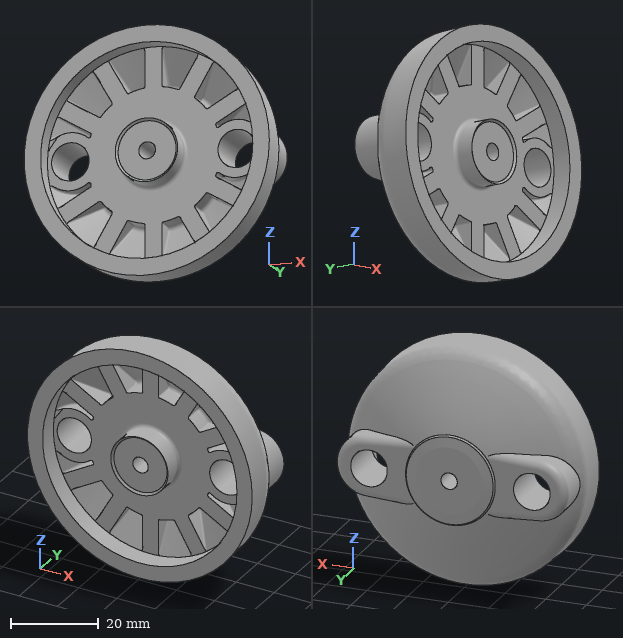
import cadquery as cq
import math


RIM_RADIUS = 29.5
RIM_BORE_RADIUS = 25.5
RIM_DRAFT_DEG = 2.0
SHOULDER_Y = 9.8
SHOULDER_FILLET = 5.0
FLOOR_Y = 5.0
WHEEL_BACK_Y = 18.05
DOME_TOP_RADIUS = 11.05
DOME_MID_RADIUS = 19.7
DOME_MID_Y = 14.85

BOSS_RADIUS = 7.5
BOSS_FRONT_Y = -0.2
BOSS_FILLET = 1.0
BORE_RADIUS = 6.95

LUG_OFFSET = 21.0
LUG_END_RADIUS = 7.5
LUG_MID_RADIUS = 8.85
LUG_BASE_Y = 7.1
LUG_EDGE_FILLET = 2.0

HOLE_OFFSET = 20.0
HOLE_RADIUS = 4.5
COLLAR_RADIUS = 6.85

SPOKE_COUNT = 12
SPOKE_WIDTH = 4.15
WEB_RADIUS = 16.1
POCKET_DEEP_Y = 10.55
POCKET_ROOT_FILLET = 0.9
POCKET_SIDE_FILLET = 0.4
POCKET_MARGIN = 1.75

BUSHING_FRONT_Y = BOSS_FRONT_Y + BOSS_RADIUS - BORE_RADIUS
BUSHING_HOLE_RADIUS = 2.0
HEAD_EDGE_RADIUS = 10.7
HEAD_EDGE_Y = 18.5
HEAD_CROWN_RADIUS = 8.2
HEAD_TOP_Y = 18.8


def cylinder_along_y(x, radius, y_start, y_end):
    """Cylinder parallel to Y, centred at the given X on Z = 0."""
    start_plane = cq.Workplane("XZ", origin=(x, y_start, 0))
    return start_plane.circle(radius).extrude(y_start - y_end)


def revolve_about_y(profile):
    """Full turn of an open (radius, Y) outline, closed back to its first point."""
    return profile.close().revolve(360, (0, 0, 0), (0, 1, 0))


def rim_and_dome():
    """Dished disc with a drafted rim, a rounded shoulder and a shallow dome."""
    shoulder_radius = RIM_RADIUS - SHOULDER_Y * math.tan(math.radians(RIM_DRAFT_DEG))
    profile = (
        cq.Workplane("XY")
        .moveTo(0, FLOOR_Y)
        .lineTo(RIM_BORE_RADIUS, FLOOR_Y)
        .lineTo(RIM_BORE_RADIUS, 0)
        .lineTo(RIM_RADIUS, 0)
        .lineTo(shoulder_radius, SHOULDER_Y)
        .threePointArc((DOME_MID_RADIUS, DOME_MID_Y), (DOME_TOP_RADIUS, WHEEL_BACK_Y))
        .lineTo(0, WHEEL_BACK_Y)
    )
    disc = revolve_about_y(profile)
    shoulder_edge = [edge for edge in disc.edges("%CIRCLE").vals()
                     if math.isclose(edge.Center().y, SHOULDER_Y, abs_tol=0.005)]
    return disc.newObject(shoulder_edge).fillet(SHOULDER_FILLET)


def lug_bar():
    """Bar across the back that narrows toward its two round ends."""
    taper = math.asin((LUG_MID_RADIUS - LUG_END_RADIUS) / LUG_OFFSET)
    tangent_x = LUG_OFFSET + LUG_END_RADIUS * math.sin(taper)
    tangent_z = LUG_END_RADIUS * math.cos(taper)
    tip_x = LUG_OFFSET + LUG_END_RADIUS
    middle_z = LUG_MID_RADIUS / math.cos(taper)
    bar = (
        cq.Workplane("XZ", origin=(0, LUG_BASE_Y, 0))
        .moveTo(0, middle_z)
        .lineTo(tangent_x, tangent_z)
        .threePointArc((tip_x, 0), (tangent_x, -tangent_z))
        .lineTo(0, -middle_z)
        .lineTo(-tangent_x, -tangent_z)
        .threePointArc((-tip_x, 0), (-tangent_x, tangent_z))
        .close()
        .extrude(LUG_BASE_Y - WHEEL_BACK_Y)
    )
    return bar.faces(">Y").edges().fillet(LUG_EDGE_FILLET)


def hub_boss():
    """Round boss on the web face, with a fillet at its foot."""
    profile = (
        cq.Workplane("XY")
        .moveTo(0, BOSS_FRONT_Y)
        .lineTo(BOSS_RADIUS, BOSS_FRONT_Y)
        .lineTo(BOSS_RADIUS, FLOOR_Y - BOSS_FILLET)
        .radiusArc((BOSS_RADIUS + BOSS_FILLET, FLOOR_Y), BOSS_FILLET)
        .lineTo(0, FLOOR_Y)
    )
    return revolve_about_y(profile)


def is_pocket_side_edge(edge):
    """True where a spoke or collar wall meets the sloped ceiling or its root fillet."""
    box = edge.BoundingBox()
    rises = box.ylen > 0.005
    parallel_to_axis = math.hypot(box.xlen, box.zlen) < 0.005
    return rises and not parallel_to_axis


def spoke_pockets():
    """Hollows between the spokes, deepest next to the web wall."""
    ceiling_slope = (POCKET_DEEP_Y - FLOOR_Y) / (RIM_BORE_RADIUS - WEB_RADIUS)
    outer_radius = RIM_BORE_RADIUS + POCKET_MARGIN
    front_y = FLOOR_Y - POCKET_MARGIN
    profile = (
        cq.Workplane("XY")
        .moveTo(WEB_RADIUS, front_y)
        .lineTo(outer_radius, front_y)
        .lineTo(outer_radius, FLOOR_Y - POCKET_MARGIN * ceiling_slope)
        .lineTo(WEB_RADIUS, POCKET_DEEP_Y)
    )
    pockets = revolve_about_y(profile).edges(">Y").fillet(POCKET_ROOT_FILLET)

    spoke_pair = cq.Workplane("XY").box(2 * RIM_RADIUS, 2 * WHEEL_BACK_Y, SPOKE_WIDTH)
    for i in range(SPOKE_COUNT // 2):
        pockets = pockets.cut(spoke_pair.rotate((0, 0, 0), (0, 1, 0), i * 360 / SPOKE_COUNT))
    for x in (-HOLE_OFFSET, HOLE_OFFSET):
        pockets = pockets.cut(cylinder_along_y(x, COLLAR_RADIUS, 0, WHEEL_BACK_Y))

    side_edges = [edge for edge in pockets.edges().vals() if is_pocket_side_edge(edge)]
    pockets = pockets.newObject(side_edges).fillet(POCKET_SIDE_FILLET)
    return pockets.intersect(cylinder_along_y(0, RIM_BORE_RADIUS, 0, WHEEL_BACK_Y))


def bushing_bore():
    """Through bore for the bushing, chamfered out to the boss's outer edge at the front."""
    profile = (
        cq.Workplane("XY")
        .moveTo(0, BOSS_FRONT_Y)
        .lineTo(BOSS_RADIUS, BOSS_FRONT_Y)
        .lineTo(BORE_RADIUS, BUSHING_FRONT_Y)
        .lineTo(BORE_RADIUS, WHEEL_BACK_Y)
        .lineTo(0, WHEEL_BACK_Y)
    )
    return revolve_about_y(profile)


def make_wheel():
    """Handwheel with spokes, lugs, lug holes and the bushing bore."""
    body = rim_and_dome().union(lug_bar()).union(hub_boss())
    body = body.cut(spoke_pockets()).cut(bushing_bore())
    for x in (-HOLE_OFFSET, HOLE_OFFSET):
        body = body.cut(cylinder_along_y(x, HOLE_RADIUS, 0, WHEEL_BACK_Y))
    return body


def make_bushing():
    """Sleeve that fills the bore, with a low crowned head on the wheel's back."""
    profile = (
        cq.Workplane("XY")
        .moveTo(BUSHING_HOLE_RADIUS, BUSHING_FRONT_Y)
        .lineTo(BORE_RADIUS, BUSHING_FRONT_Y)
        .lineTo(BORE_RADIUS, WHEEL_BACK_Y)
        .lineTo(DOME_TOP_RADIUS, WHEEL_BACK_Y)
        .lineTo(HEAD_EDGE_RADIUS, HEAD_EDGE_Y)
        .lineTo(HEAD_CROWN_RADIUS, HEAD_TOP_Y)
        .lineTo(BUSHING_HOLE_RADIUS, HEAD_TOP_Y)
    )
    return revolve_about_y(profile)


wheel = make_wheel()
bushing = make_bushing()
result = cq.Compound.makeCompound([*wheel.solids().vals(), bushing.val()])